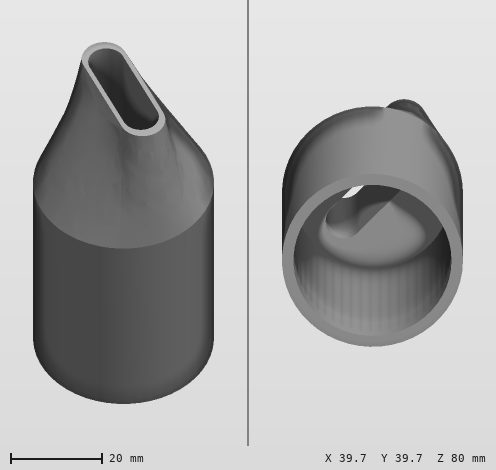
import cadquery as cq
import math

total_height = 80.0
sleeve_height = 50.0
outer_diameter = 39.7
bore_diameter = 34.6

mouth_length = 30.0
mouth_width = 10.0

slot_length = 26.0
slot_width = 8.0


def make_nozzle():
    """Loft from the circular top of the sleeve to the flat mouth.

    The circle is split into four arcs, each matched to one side of the mouth.
    """
    radius = outer_diameter / 2
    half_length = mouth_length / 2
    half_width = mouth_width / 2
    half_straight = half_length - half_width

    seam_angle = math.atan2(half_width, half_straight)
    seam_x = radius * math.cos(seam_angle)
    seam_y = radius * math.sin(seam_angle)

    circle = (
        cq.Workplane("XY", origin=(0, 0, sleeve_height))
        .moveTo(-seam_x, -seam_y)
        .threePointArc((0, -radius), (seam_x, -seam_y))
        .threePointArc((radius, 0), (seam_x, seam_y))
        .threePointArc((0, radius), (-seam_x, seam_y))
        .threePointArc((-radius, 0), (-seam_x, -seam_y))
        .close()
    )
    mouth = (
        cq.Workplane("XY", origin=(0, 0, total_height))
        .moveTo(-half_straight, -half_width)
        .lineTo(half_straight, -half_width)
        .threePointArc((half_length, 0), (half_straight, half_width))
        .lineTo(-half_straight, half_width)
        .threePointArc((-half_length, 0), (-half_straight, -half_width))
        .close()
    )
    return cq.Workplane(obj=cq.Solid.makeLoft([circle.val(), mouth.val()], True))


sleeve = cq.Workplane("XY").circle(outer_diameter / 2).extrude(sleeve_height)
bore = cq.Workplane("XY").circle(bore_diameter / 2).extrude(sleeve_height)
slot = cq.Workplane("XY").slot2D(slot_length, slot_width).extrude(total_height)

result = sleeve.union(make_nozzle()).cut(bore).cut(slot)